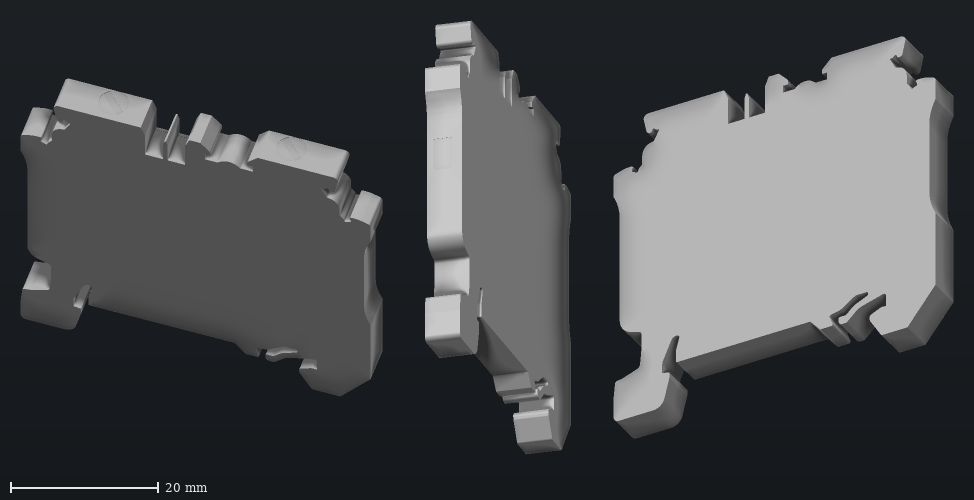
import cadquery as cq
import math

length = 50.0
thickness = 5.0
height = 48.25
end_x = length / 2
top_z = height / 2
foot_z = -height / 2

waist_x = 24.05
body_bottom_z = -17.5
groove_floor_z = 18.5
lug_z = -19.25
right_foot_z = -23.2

groove_left_x = -7.25
groove_right_x = -1.5
groove_lead_in = 0.6
groove_lead_in_z = 22.7
fin_x = -4.35
fin_width = 0.7
fin_tip_width = 0.2
fin_shoulder_z = 21.7
fin_top_z = 22.5

marker_x = 4.75
marker_floor_z = 20.85
marker_lip_z = 21.95
marker_half_width = 3.4
marker_mouth_half_width = 2.65
marker_mouth_z = 22.65
marker_mouth_right_x = 8.85
marker_mouth_left_x = 0.65
bump_half_width = 1.65
bump_apex_z = 22.15
bump_radius = 1.95

shallow = 0.05

screw_diameter = 4.2
screw_x = 12.7
screw_y = 0.4
screw_slot_width = 1.0
screw_slot_angle = -45.0

bar_width = 4.1

entry_width = 2.55
entry_y = 0.3
entry_top_z = 5.65
entry_bottom_z = 1.15
entry_corner_radius = 0.4
funnel_width = 5.3
funnel_top_z = 8.3
funnel_bottom_z = -2.05


def shoulder(side):
    """Corners of a stepped shoulder from the top face down to the waist; side is -1 or +1."""
    corners = [
        (20.5, top_z, 0.75),
        (19.8, 20.85, 0.5),
        (19.1, 20.9, 0.15),
        (18.85, 21.55, 0.15),
        (18.35, 21.05, 0.15),
        (17.85, 21.1, 0.15),
        (18.75, 19.35, 0.4),
        (20.55, 19.15, 1.75),
        (20.55, 16.2, 0.4),
        (21.15, 15.55, 0.15),
        (21.2, 15.05, 0.2),
        (22.25, 15.5, 0.25),
        (21.9, 16.35, 0.2),
        (23.2, 16.35, 3.0),
        (end_x, 15.8, 0.5),
        (end_x, 12.3, 0),
        (waist_x, 10.3, 8.0),
    ]
    return [(side * x, z, radius) for x, z, radius in corners]


def left_foot():
    """Corners of the hooked foot, from the -X waist round to the flat bottom of the body."""
    return [
        (-waist_x, -9.8, 2.4),
        (-20.7, -10.85, 0.45),
        (-20.7, -14.15, 7.0),
        (-20.95, -16.5, 0.7),
        (-23.6, -17.45, 1.25),
        (-24.75, -17.65, 0.4),
        (-end_x, -20.15, 0),
        (-end_x, foot_z, 0.8),
        (-17.45, foot_z, 1.8),
        (-16.35, -19.7, 0.25),
        (-16.35, -18.75, 0.1),
        (-17.45, -18.55, 0),
        (-17.45, -16.9, 1.5),
        (-15.85, -13.25, 0.9),
        (-14.65, -13.1, 0.4),
        (-15.3, -15.55, 1.5),
        (-15.3, body_bottom_z, 0.15),
    ]


def spring_lug():
    """Corners of the lug, the slanted slit and the spring finger below it."""
    return [
        (5.55, body_bottom_z, 0),
        (7.1, lug_z, 0.15),
        (9.15, lug_z, 0.25),
        (8.45, -17.45, 0.3),
        (10.25, -17.1, 0.5),
        (12.6, -15.5, 0.4),
        (14.95, -15.5, 0.3),
        (14.4, -16.1, 0.2),
        (12.3, -17.05, 2.0),
        (11.1, -18.2, 0.2),
        (9.95, -18.2, 0.25),
        (9.95, -19.45, 0.6),
        (11.2, -19.45, 0.4),
        (13.05, -17.7, 3.0),
        (17.3, -16.5, 0.35),
    ]


def right_foot():
    """Corners of the clamping foot, from the rail recess up to the +X waist."""
    return [
        (17.3, -18.65, 0),
        (16.55, -18.65, 0.75),
        (14.65, -19.5, 0.6),
        (14.85, -20.35, 0.3),
        (16.6, right_foot_z, 0.4),
        (20.65, right_foot_z, 0.3),
        (end_x, -17.7, 0.15),
        (end_x, -6.05, 0),
        (waist_x, -4.0, 8.0),
    ]


def marker_slot():
    """Corners of the marker slot, from its +X mouth to its -X mouth."""
    return [
        (marker_mouth_right_x, top_z, 0),
        (marker_x + marker_mouth_half_width, marker_mouth_z, 0),
        (marker_x + marker_mouth_half_width, marker_lip_z, 0),
        (marker_x + marker_half_width, marker_lip_z, 0),
        (marker_x + marker_half_width, marker_floor_z, 0),
        (marker_x + bump_half_width, marker_floor_z, 0.25),
        (marker_x, bump_apex_z, bump_radius),
        (marker_x - bump_half_width, marker_floor_z, 0.25),
        (marker_x - marker_half_width, marker_floor_z, 0),
        (marker_x - marker_half_width, marker_lip_z, 0),
        (marker_x - marker_mouth_half_width, marker_lip_z, 0),
        (marker_x - marker_mouth_half_width, marker_mouth_z, 0.4),
        (marker_mouth_left_x, top_z, 0),
    ]


def jumper_groove():
    """Corners of the jumper groove and its fin, from +X to -X."""
    return [
        (groove_right_x + groove_lead_in, top_z, 0),
        (groove_right_x, groove_lead_in_z, 0),
        (groove_right_x, groove_floor_z, 0),
        (fin_x + fin_width / 2, groove_floor_z, 0),
        (fin_x + fin_width / 2, fin_shoulder_z, 0),
        (fin_x + fin_tip_width / 2, fin_top_z, 0),
        (fin_x - fin_tip_width / 2, fin_top_z, 0),
        (fin_x - fin_width / 2, fin_shoulder_z, 0),
        (fin_x - fin_width / 2, groove_floor_z, 0),
        (groove_left_x, groove_floor_z, 0),
        (groove_left_x, groove_lead_in_z, 0),
        (groove_left_x - groove_lead_in, top_z, 0),
    ]


def corner_round(before, corner, after):
    """Start, middle and end of the arc that rounds a corner."""
    tip = cq.Vector(corner[0], corner[1])
    to_before = (cq.Vector(before[0], before[1]) - tip).normalized()
    to_after = (cq.Vector(after[0], after[1]) - tip).normalized()
    half_angle = to_before.getAngle(to_after) / 2
    radius = corner[2]
    setback = radius / math.tan(half_angle)
    bisector = (to_before + to_after).normalized()
    middle = tip + bisector * (radius / math.sin(half_angle) - radius)
    points = (tip + to_before * setback, middle, tip + to_after * setback)
    return [(point.x, point.y) for point in points]


def rounded_outline(corners):
    """Closed outline in the XZ plane through corners given as (x, z, rounding radius)."""
    outline = cq.Workplane("XZ")
    for index, corner in enumerate(corners):
        next_corner = corners[(index + 1) % len(corners)]
        rounded = corner[2] > 0
        if rounded:
            start, middle, end = corner_round(corners[index - 1], corner, next_corner)
        else:
            start = corner[:2]
        outline = outline.moveTo(*start) if index == 0 else outline.lineTo(*start)
        if rounded:
            outline = outline.threePointArc(middle, end)
    return outline.close()


def screw_head(x):
    """Cutter for a slotted screw head sunk just below the top face."""
    head = cq.Workplane("XY").circle(screw_diameter / 2).extrude(-shallow)
    slot = (
        cq.Workplane("XY")
        .rect(screw_diameter, screw_slot_width)
        .extrude(-2 * shallow)
        .intersect(cq.Workplane("XY").circle(screw_diameter / 2).extrude(-2 * shallow))
        .rotate((0, 0, 0), (0, 0, 1), screw_slot_angle)
    )
    return head.union(slot).translate((x, screw_y, top_z))


def groove_bar():
    """Cutters for the sunk strips of the groove floor on both sides of the fin."""
    fin_left_x = fin_x - fin_width / 2
    fin_right_x = fin_x + fin_width / 2
    strips = cq.Workplane("XY")
    for start_x, stop_x in ((groove_left_x, fin_left_x), (fin_right_x, groove_right_x)):
        strip_length = stop_x - start_x
        strip = cq.Workplane("XY").box(strip_length, bar_width, shallow, centered=(False, True, False))
        strips = strips.add(strip.translate((start_x, 0, groove_floor_z - shallow)))
    return strips.combine()


def wire_entry():
    """Cutter for the shallow funnel and the opening at its middle on the -X end."""
    entry_height = entry_top_z - entry_bottom_z
    entry_z = (entry_top_z + entry_bottom_z) / 2
    funnel_height = funnel_top_z - funnel_bottom_z
    funnel_z = (funnel_top_z + funnel_bottom_z) / 2
    funnel = (
        cq.Workplane("YZ", origin=(-waist_x, 0, 0))
        .center(0, funnel_z)
        .rect(funnel_width, funnel_height)
        .workplane(offset=shallow)
        .center(entry_y, entry_z - funnel_z)
        .rect(entry_width, entry_height)
        .loft(ruled=True)
    )
    opening = (
        cq.Workplane("YZ", origin=(-waist_x, entry_y, entry_z))
        .rect(entry_width, entry_height)
        .extrude(2 * shallow)
        .edges("|X and <Z")
        .fillet(entry_corner_radius)
    )
    return funnel.union(opening)


profile = shoulder(-1) + left_foot() + spring_lug() + right_foot()
profile += shoulder(1)[::-1] + marker_slot() + jumper_groove()

result = rounded_outline(profile).extrude(thickness / 2, both=True)
for x in (-screw_x, screw_x):
    result = result.cut(screw_head(x))
result = result.cut(groove_bar()).cut(wire_entry())